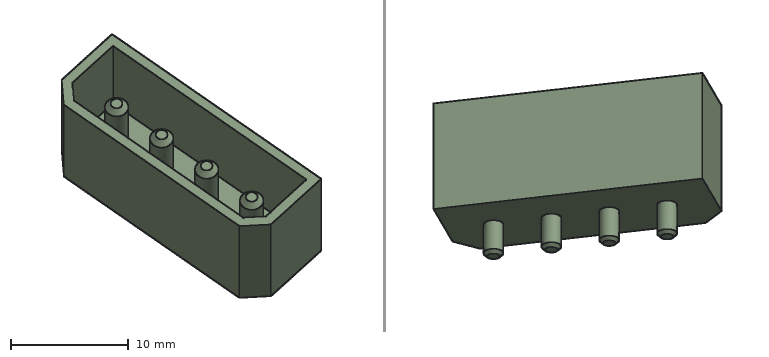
import cadquery as cq

length = 23.6
width = 8.4
height = 10.0
corner_bevel = 1.9
wall = 0.9
inner_bevel = 1.35
floor_thickness = 2.0

pin_count = 4
pin_pitch = 5.08
contact_diameter = 2.0
contact_tip_diameter = 1.0
contact_tip_height = 0.5
contact_recess = 2.0
tail_diameter = 1.7
tail_length = 3.0
tail_chamfer = 0.3


def bevelled_block(size_x, size_y, size_z, bevel):
    """Block standing on Z = 0 with its two -Y vertical edges bevelled."""
    block = cq.Workplane("XY").box(size_x, size_y, size_z, centered=(True, True, False))
    return block.faces("<Y").edges("|Z").chamfer(bevel)


def make_housing():
    cavity_depth = height - floor_thickness
    shell = bevelled_block(length, width, height, corner_bevel)
    cavity = bevelled_block(length - 2 * wall, width - 2 * wall, cavity_depth, inner_bevel)
    return shell.cut(cavity.translate((0, 0, floor_thickness)))


def make_pin():
    """Half profile turned about Z: chamfered tail, contact and conical tip."""
    contact_radius = contact_diameter / 2
    tail_radius = tail_diameter / 2
    tip_z = height - contact_recess
    step_z = floor_thickness / 2
    profile = [
        (0, -tail_length),
        (tail_radius - tail_chamfer, -tail_length),
        (tail_radius, -tail_length + tail_chamfer),
        (tail_radius, step_z),
        (contact_radius, step_z),
        (contact_radius, tip_z - contact_tip_height),
        (contact_tip_diameter / 2, tip_z),
        (0, tip_z),
    ]
    return cq.Workplane("XZ").polyline(profile).close().revolve(360, (0, 0), (0, 1))


result = make_housing()
pin = make_pin()
for index in range(pin_count):
    pin_x = (index - (pin_count - 1) / 2) * pin_pitch
    result = result.union(pin.translate((pin_x, 0, 0)))